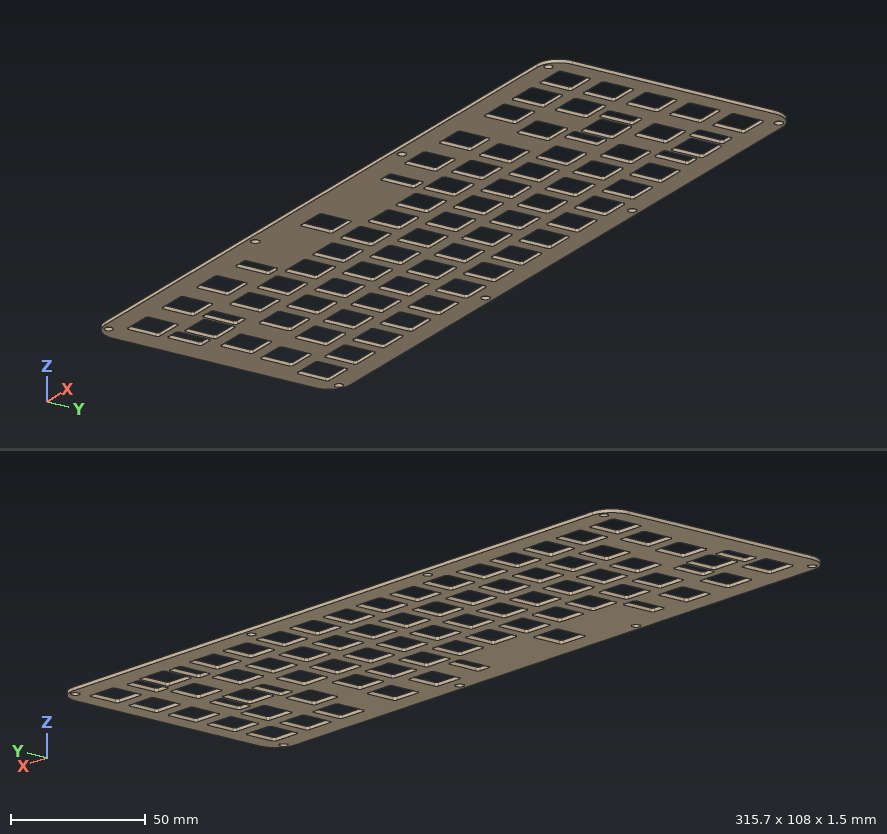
import cadquery as cq

PLATE_LENGTH = 315.7
PLATE_WIDTH = 108.0
PLATE_THICKNESS = 1.5
PLATE_CORNER_RADIUS = 9.5

KEY_UNITS_PER_ROW = 16
KEY_FIELD_LENGTH = 304.7
KEY_PITCH = KEY_FIELD_LENGTH / KEY_UNITS_PER_ROW

WEB_BETWEEN_SWITCHES = 5.0
SWITCH_SIZE = KEY_PITCH - WEB_BETWEEN_SWITCHES
STABILISER_LENGTH = 7.0
STABILISER_WIDTH = 14.8
STABILISER_OFFSET = 1.48
CUTOUT_CORNER_RADIUS = 1.0
SHORT_STABILISER_REACH = 12.0
SPACE_STABILISER_REACH = 50.0

SCREW_DIAMETER = 3.5
SCREW_COLUMN_SPACING = 100.7
SCREW_ROW_SPACING = 101.5
SCREW_COLUMNS = 4
SCREW_ROWS = 2

GAP = "gap"
GAP_WIDTH = 2
LETTER = 4
QUARTER_PITCH = KEY_PITCH / LETTER
SPACE_BAR = 25
NARROWEST_STABILISED_KEY = 8
KEY_ROWS = [
    [LETTER] * 13 + [8, LETTER],
    [6] + [LETTER] * 12 + [6, LETTER],
    [7] + [LETTER] * 11 + [9, LETTER],
    [9] + [LETTER] * 10 + [7] + [LETTER] * 2,
    [5] * 3 + [SPACE_BAR] + [5] * 2 + [GAP] + [LETTER] * 3,
]


def place_keys():
    """Return the centre of every key and its width in quarter units."""
    keys = []
    for row, widths in enumerate(KEY_ROWS):
        y = ((len(KEY_ROWS) - 1) / 2 - row) * KEY_PITCH
        left = -KEY_UNITS_PER_ROW * LETTER / 2
        for width in widths:
            if width == GAP:
                left += GAP_WIDTH
                continue
            keys.append(((left + width / 2) * QUARTER_PITCH, y, width))
            left += width
    return keys


def place_stabilisers(keys):
    """Return the centres of the stabiliser slots beside every wide key."""
    centres = []
    for x, y, width in keys:
        if width < NARROWEST_STABILISED_KEY:
            continue
        if width == SPACE_BAR:
            reach = SPACE_STABILISER_REACH
            slot_y = y + STABILISER_OFFSET
        else:
            reach = SHORT_STABILISER_REACH
            slot_y = y - STABILISER_OFFSET
        centres.append((x - reach, slot_y))
        centres.append((x + reach, slot_y))
    return centres


def make_cutters(centres, length, width):
    """Return round-cornered blocks that pass through the plate."""
    return (
        cq.Workplane("XY")
        .pushPoints(centres)
        .rect(length, width)
        .extrude(PLATE_THICKNESS)
        .edges("|Z")
        .fillet(CUTOUT_CORNER_RADIUS)
    )


def make_plate():
    """Return the round-cornered plate with its screw holes."""
    return (
        cq.Workplane("XY")
        .rect(PLATE_LENGTH, PLATE_WIDTH)
        .extrude(PLATE_THICKNESS)
        .edges("|Z")
        .fillet(PLATE_CORNER_RADIUS)
        .faces(">Z")
        .workplane()
        .rarray(SCREW_COLUMN_SPACING, SCREW_ROW_SPACING, SCREW_COLUMNS, SCREW_ROWS)
        .hole(SCREW_DIAMETER)
    )


keys = place_keys()
switch_centres = [(x, y) for x, y, _ in keys]
stabiliser_centres = place_stabilisers(keys)

result = (
    make_plate()
    .cut(make_cutters(switch_centres, SWITCH_SIZE, SWITCH_SIZE))
    .cut(make_cutters(stabiliser_centres, STABILISER_LENGTH, STABILISER_WIDTH))
)